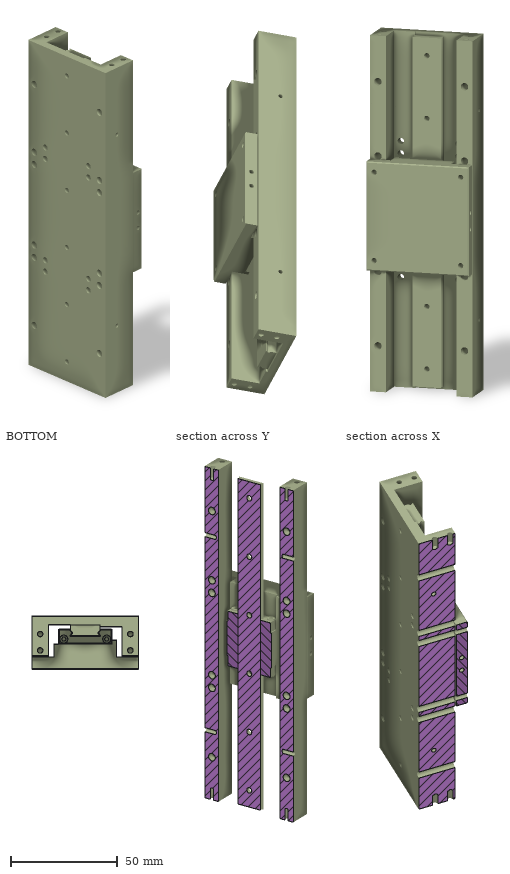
import cadquery as cq
import math


LENGTH = 170.0
WIDTH = 50.0
TOTAL_HEIGHT = 25.0

BASE_HEIGHT = 18.5
CHANNEL_WIDTH = 34.3
FLOOR = 4.0
SHOULDER_FLOOR = 5.0

RAIL_WIDTH = 14.0
RAIL_HEIGHT = 5.1
RAIL_SETBACK = 1.5
GROOVE_DEPTH = 1.0
GROOVE_CENTER = 3.7
GROOVE_HALF_HEIGHT = 1.2

TABLE_LENGTH = 52.0
TABLE_GAP = 0.5
TABLE_CHAMFER = 0.5
PAD_WIDTH = 29.2
STOP_HEIGHT = 1.9

BLOCK_WIDTH = 25.2
BLOCK_LENGTH = 28.2
BLOCK_BOTTOM = 6.0
BLOCK_TOP = 13.1
BLOCK_CHAMFER = 0.5
RAIL_CLEARANCE = 0.08
CAP_LENGTH = 5.1
CAP_INSET = 0.5
CAP_SCREW_SPACING = 20.0
CAP_SCREW_Y = 10.7
CAP_SCREW_HEAD = 3.7
CAP_SCREW_HEIGHT = 0.5
CAP_SCREW_SOCKET = 2.0

RAIL_HOLE = 2.5
RAIL_HOLE_PITCH = 30.0
RAIL_HOLE_COUNT = 6
MOUNT_HOLE = 3.5
MOUNT_X = 21.0
MOUNT_Z = (21.0, 27.5, 63.0)
INNER_HOLE = 3.0
INNER_X = 14.0
INNER_Z = (26.5, 32.5)
TABLE_HOLE = 2.5
TABLE_HOLE_Z = MOUNT_Z[0]
TAPPED_DEPTH = 6.0
POINT_ANGLE = 118.0
END_HOLE = 2.5
END_HOLE_X = 21.0
END_HOLE_Y = (8.3, 16.0)
WALL_HOLE = 2.0
WALL_HOLE_Y = 7.6
WALL_HOLE_Z = 50.0
TABLE_SIDE_HOLE = 2.2
TABLE_SIDE_Y = 22.0
TABLE_SIDE_SPACING = 8.0

RAIL_TOP = FLOOR + RAIL_HEIGHT
TABLE_BOTTOM = BASE_HEIGHT + TABLE_GAP
SIGNS = (-1, 1)


def bar(x_min, x_max, y_min, y_max, length):
    """Rectangular bar along Z, centred on Z = 0."""
    return (
        cq.Workplane("XY")
        .box(x_max - x_min, y_max - y_min, length, centered=(False, False, True))
        .translate((x_min, y_min, 0))
    )


def through_holes(diameter, points):
    """Drills parallel to Y through the whole stage, at (x, z) points."""
    drills = cq.Workplane("XY")
    for x, z in points:
        drill = cq.Solid.makeCylinder(
            diameter / 2, TOTAL_HEIGHT, cq.Vector(x, 0, z), cq.Vector(0, 1, 0)
        )
        drills = drills.add(drill)
    return drills.combine()


def blind_hole(diameter, entry, direction):
    """Drill with a conical point, entering at a point in a given direction."""
    radius = diameter / 2
    point_length = radius / math.tan(math.radians(POINT_ANGLE / 2))
    axis = cq.Vector(*direction)
    start = cq.Vector(*entry)
    shank = cq.Solid.makeCylinder(radius, TAPPED_DEPTH, start, axis)
    tip = cq.Solid.makeCone(radius, 0, point_length, start + axis * TAPPED_DEPTH, axis)
    return cq.Workplane("XY").add(shank.fuse(tip))


def rail_section(offset=0.0):
    """Rail profile along Z with a V groove in each side, grown outward by an offset."""
    half = RAIL_WIDTH / 2 + offset
    root = half - GROOVE_DEPTH
    groove_y = FLOOR + GROOVE_CENTER
    top = RAIL_TOP + offset
    right_side = [
        (half, FLOOR),
        (half, groove_y - GROOVE_HALF_HEIGHT),
        (root, groove_y),
        (half, groove_y + GROOVE_HALF_HEIGHT),
        (half, top),
    ]
    left_side = [(-x, y) for x, y in reversed(right_side)]
    outline = cq.Workplane("XY").polyline(right_side + left_side).close()
    return outline.extrude(LENGTH / 2 - RAIL_SETBACK, both=True)


def make_base():
    """U-shaped base with its rail and all its holes."""
    base = bar(-WIDTH / 2, WIDTH / 2, 0, BASE_HEIGHT, LENGTH)
    channel = bar(-CHANNEL_WIDTH / 2, CHANNEL_WIDTH / 2, SHOULDER_FLOOR, BASE_HEIGHT, LENGTH)
    rail_seat = bar(-CHANNEL_WIDTH / 2, RAIL_WIDTH / 2, FLOOR, BASE_HEIGHT, LENGTH)
    base = base.cut(channel).cut(rail_seat).union(rail_section())

    first_rail_hole = -RAIL_HOLE_PITCH * (RAIL_HOLE_COUNT - 1) / 2
    rail_points = [(0, first_rail_hole + i * RAIL_HOLE_PITCH) for i in range(RAIL_HOLE_COUNT)]
    mount_points = [(i * MOUNT_X, j * z) for i in SIGNS for j in SIGNS for z in MOUNT_Z]
    inner_points = [(i * INNER_X, j * z) for i in SIGNS for j in SIGNS for z in INNER_Z]
    base = base.cut(through_holes(RAIL_HOLE, rail_points))
    base = base.cut(through_holes(MOUNT_HOLE, mount_points))
    base = base.cut(through_holes(INNER_HOLE, inner_points))

    for side in SIGNS:
        for end in SIGNS:
            for y in END_HOLE_Y:
                entry = (side * END_HOLE_X, y, end * LENGTH / 2)
                base = base.cut(blind_hole(END_HOLE, entry, (0, 0, -end)))
            entry = (side * WIDTH / 2, WALL_HOLE_Y, end * WALL_HOLE_Z)
            base = base.cut(blind_hole(WALL_HOLE, entry, (-side, 0, 0)))
    return base


def make_block():
    """Guide block: steel middle, slightly smaller end caps and cap screw heads."""
    half = BLOCK_WIDTH / 2
    body_length = BLOCK_LENGTH - 2 * CAP_LENGTH
    block = bar(-half, half, BLOCK_BOTTOM, BLOCK_TOP, body_length)
    block = block.edges("|Z and <Y").chamfer(BLOCK_CHAMFER)
    caps = bar(
        -half + CAP_INSET, half - CAP_INSET, BLOCK_BOTTOM + CAP_INSET, BLOCK_TOP - CAP_INSET, BLOCK_LENGTH
    )
    screw_points = [(i * CAP_SCREW_SPACING / 2, CAP_SCREW_Y) for i in SIGNS]
    heads = (
        cq.Workplane("XY")
        .pushPoints(screw_points)
        .circle(CAP_SCREW_HEAD / 2)
        .pushPoints(screw_points)
        .polygon(6, CAP_SCREW_SOCKET)
        .extrude(BLOCK_LENGTH / 2 + CAP_SCREW_HEIGHT, both=True)
    )
    return block.union(caps).union(heads).cut(rail_section(RAIL_CLEARANCE))


def make_carriage():
    """Table with its pad and side stop, joined to the guide block."""
    table = bar(-WIDTH / 2, WIDTH / 2, TABLE_BOTTOM, TOTAL_HEIGHT, TABLE_LENGTH)
    table = table.faces(">Y").chamfer(TABLE_CHAMFER)
    pad = bar(-PAD_WIDTH / 2, PAD_WIDTH / 2, BLOCK_TOP, TABLE_BOTTOM, TABLE_LENGTH)
    stop = bar(BLOCK_WIDTH / 2, PAD_WIDTH / 2, BLOCK_TOP - STOP_HEIGHT, BLOCK_TOP, TABLE_LENGTH)
    carriage = table.union(pad).union(stop).union(make_block())

    table_points = [(i * MOUNT_X, j * TABLE_HOLE_Z) for i in SIGNS for j in SIGNS]
    carriage = carriage.cut(through_holes(TABLE_HOLE, table_points))
    for side in SIGNS:
        for end in SIGNS:
            entry = (side * WIDTH / 2, TABLE_SIDE_Y, end * TABLE_SIDE_SPACING / 2)
            carriage = carriage.cut(blind_hole(TABLE_SIDE_HOLE, entry, (-side, 0, 0)))
    return carriage


base = make_base()
carriage = make_carriage()
result = cq.Compound.makeCompound([base.val(), carriage.val()])